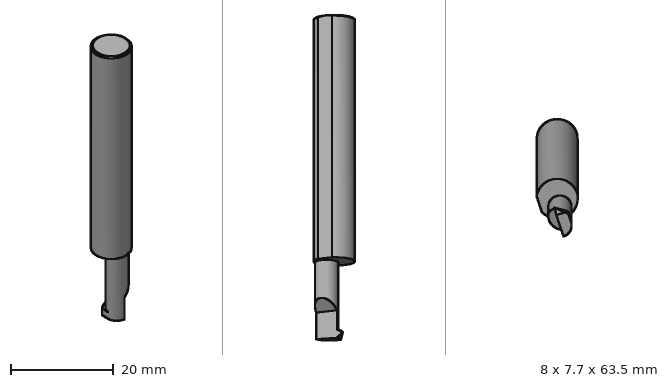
import cadquery as cq

total_length = 63.5
shank_radius = 4.0
shank_bottom = 15.25
shank_flat_y = 3.7
chamfer_radial = 0.4
chamfer_height = 0.25

neck_radius = 2.3
neck_center_x = shank_radius - neck_radius
relief_start = 5.45

tip_x = -1.9
tip_z = 0.95
tooth_root_x = -0.6
head_front_left_x = -0.1
head_top = 1.7
end_rise = 0.2

cut_span = 4 * shank_radius


def make_shank():
    """Cylinder with a chamfered top and a shallow flat on +Y."""
    cylinder = (
        cq.Workplane("XY")
        .workplane(offset=shank_bottom)
        .circle(shank_radius)
        .extrude(total_length - shank_bottom)
        .faces(">Z")
        .chamfer(chamfer_height, chamfer_radial)
    )
    flat_limit = (
        cq.Workplane("XY")
        .box(cut_span, cut_span, total_length, centered=(True, False, False))
        .translate((0, shank_flat_y - cut_span, 0))
    )
    return cylinder.intersect(flat_limit)


def make_neck():
    """Offset round neck, cut to a half round near its free end."""
    neck = cq.Workplane("XY").center(neck_center_x, 0).circle(neck_radius).extrude(shank_bottom)
    relief = (
        cq.Workplane("YZ")
        .polyline([
            (0, 0),
            (0, relief_start),
            (cut_span, relief_start + cut_span),
            (cut_span, 0),
        ])
        .close()
        .extrude(cut_span, both=True)
    )
    return neck.cut(relief)


def make_head():
    """Pointed tooth with a sloping clearance face running back from its tip."""
    plan = (
        cq.Workplane("XY")
        .polyline([
            (tip_x, 0),
            (head_front_left_x, -neck_radius),
            (neck_center_x, -neck_radius),
            (neck_center_x, 0),
        ])
        .close()
        .extrude(head_top)
    )
    tooth_profile = (
        cq.Workplane("XZ")
        .polyline([
            (tip_x, tip_z),
            (tooth_root_x, head_top),
            (neck_center_x, head_top),
            (neck_center_x, 0),
            (tooth_root_x, 0),
        ])
        .close()
        .extrude(neck_radius)
    )
    return plan.intersect(tooth_profile)


def make_end_clearance():
    """Wedge below the sloping end face."""
    return (
        cq.Workplane("XZ")
        .polyline([(tooth_root_x, 0), (shank_radius, end_rise), (shank_radius, 0)])
        .close()
        .extrude(cut_span, both=True)
    )


lower_end = make_neck().union(make_head()).cut(make_end_clearance())
result = make_shank().union(lower_end)